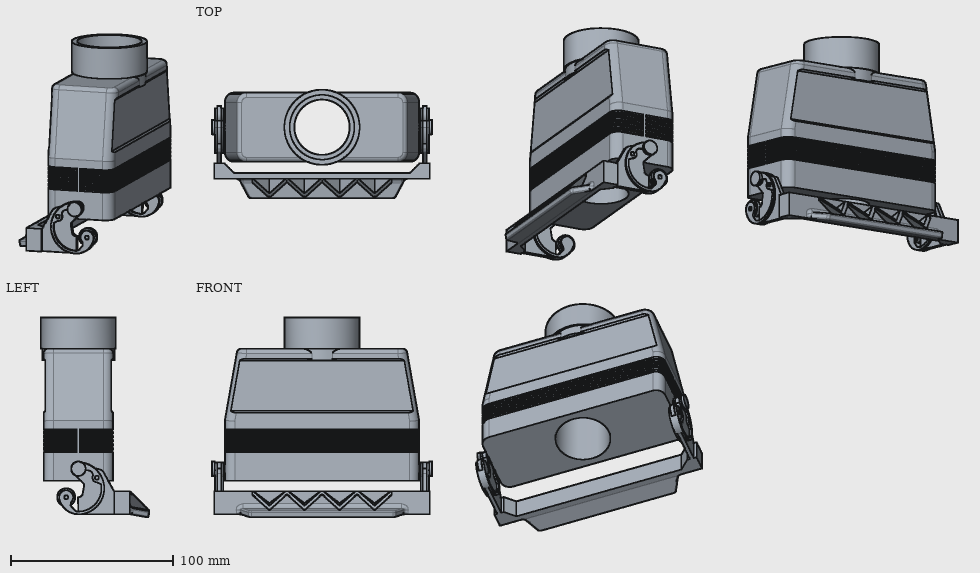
import cadquery as cq
import math


HOOD_LENGTH = 120.0
HOOD_WIDTH = 42.9
HOOD_HEIGHT = 81.6
TAPER_START = 37.4
TAPER_ANGLE = 10.0
SIDE_ROUND = 6.0
TOP_ROUND = 3.0

RECESS_DEPTH = 1.0
RECESS_BOTTOM = 42.0
RECESS_TOP = 75.4
RECESS_BEVEL = 1.2

GROOVE_COUNT = 6
GROOVE_PITCH = 2.5
GROOVE_FIRST_Z = 18.4
GROOVE_WIDTH = 1.7
GROOVE_DEPTH = 0.7
GROOVE_GAP = 1.9

NECK_RADIUS = 23.25
NECK_TOP = 100.8
COLLAR_RADIUS = 22.4
COLLAR_BOTTOM = 74.4
SOCKET_RADIUS = 20.0
SOCKET_DEPTH = 16.0
BORE_RADIUS = 17.0

PIN_Z = 7.45
PIN_RADIUS = 2.65
PIN_HEAD_RADIUS = 4.5
PIN_END_X = 68.0

ARM_X = 63.5
WEB_THICKNESS = 2.6
SPRING_THICKNESS = 5.2
WEB_OUTER_RADIUS = 16.2
ARC_CENTER_Z = -4.7
SPRING_OUTER_RADIUS = 16.0
SPRING_INNER_RADIUS = 14.3
EYE_Y = 7.5
EYE_Z = -10.15
EYE_RADIUS = 4.3
ROLLER_RADIUS = 5.6
RIVET_Y = -11.5
RIVET_Z = 1.9
RIVET_LOBE_RADIUS = 2.8
DIMPLE_RADIUS = 1.25
DIMPLE_DEPTH = 0.4

BAR_LENGTH = 133.2
BAR_BACK = -22.1
BAR_FRONT = -31.85
BAR_WALL = 3.7
BAR_BLOCK_LENGTH = 6.2
BAR_TOP = -6.4
BAR_BOTTOM = ARC_CENTER_Z - SPRING_OUTER_RADIUS

LIP_TILT = 10.0
LIP_REACH = 11.6
LIP_THICKNESS = 4.1
LIP_BASE_HALF = 51.0
LIP_END_HALF = 45.0
LIP_CORNER_ROUND = 2.0
LIP_EDGE_ROUND = 0.9
LIP_ROOT_ROUND = 3.0
LIP_EMBED = 2.0

ZIGZAG_COUNT = 4
ZIGZAG_PITCH = 21.65
RIB_LENGTH = 86.2
RIB_VALLEY_HEIGHT = LIP_THICKNESS + 0.4
RIB_PEAK_HEIGHT = 12.4
RIB_THICKNESS = 2.3


def cylinder_z(radius, bottom, top):
    return cq.Workplane("XY").workplane(offset=bottom).circle(radius).extrude(top - bottom)


def cylinder_x(radius, y, z, start, end):
    return cq.Workplane("YZ").workplane(offset=start).center(y, z).circle(radius).extrude(end - start)


def plate_at_arm(sketch, thickness):
    """Extrude a closed YZ outline symmetrically about the middle of the +X arm."""
    return sketch.extrude(thickness / 2, both=True).translate((ARM_X, 0, 0))


def make_hood():
    half = HOOD_LENGTH / 2
    top_half = half - (HOOD_HEIGHT - TAPER_START) * math.tan(math.radians(TAPER_ANGLE))
    outline = [
        (-half, 0),
        (half, 0),
        (half, TAPER_START),
        (top_half, HOOD_HEIGHT),
        (-top_half, HOOD_HEIGHT),
        (-half, TAPER_START),
    ]
    body = cq.Workplane("XZ").polyline(outline).close().extrude(HOOD_WIDTH / 2, both=True)
    side_edges = body.faces("<X or >X").edges("|Z").vals()
    slanted_edges = body.edges("not(|X or |Y or |Z)").vals()
    body = body.newObject(side_edges + slanted_edges).fillet(SIDE_ROUND)
    return body.faces(">Z").edges().fillet(TOP_ROUND)


def make_recesses():
    outer = HOOD_WIDTH / 2
    inner = outer - RECESS_DEPTH
    section = [
        (-outer, RECESS_BOTTOM),
        (-inner, RECESS_BOTTOM + RECESS_BEVEL),
        (-inner, RECESS_TOP - RECESS_BEVEL),
        (-outer, RECESS_TOP),
    ]
    front = cq.Workplane("YZ").polyline(section).close().extrude(HOOD_LENGTH / 2, both=True)
    return front.union(front.mirror("XZ"))


def make_groove(z):
    """V-shaped ring around the hood, interrupted at the middle of both ends."""
    taper = math.degrees(math.atan2(GROOVE_DEPTH, GROOVE_WIDTH / 2))
    outline = cq.Sketch().rect(HOOD_LENGTH, HOOD_WIDTH).vertices().fillet(SIDE_ROUND)
    base = cq.Workplane("XY").workplane(offset=-GROOVE_WIDTH / 2)
    lower_core = base.placeSketch(outline).extrude(GROOVE_WIDTH / 2, taper=taper)
    core = lower_core.union(lower_core.mirror("XY"))
    margin = 2.0
    ring = cq.Workplane("XY").box(HOOD_LENGTH + margin, HOOD_WIDTH + margin, GROOVE_WIDTH).cut(core)
    gap = cq.Workplane("XY").box(HOOD_LENGTH + 2 * margin, GROOVE_GAP, GROOVE_WIDTH)
    return ring.cut(gap).translate((0, 0, z))


def make_web():
    def on_outer(degrees):
        angle = math.radians(degrees)
        return (WEB_OUTER_RADIUS * math.cos(angle), ARC_CENTER_Z + WEB_OUTER_RADIUS * math.sin(angle))

    outline = (
        cq.Workplane("YZ")
        .moveTo(*on_outer(90))
        .threePointArc(on_outer(110), on_outer(129))
        .lineTo(-13.2, 7.0)
        .threePointArc((-14.8, 6.2), (-15.9, 4.7))
        .lineTo(BAR_BACK, BAR_TOP)
        .lineTo(BAR_BACK - 1.0, BAR_TOP)
        .lineTo(BAR_BACK - 1.0, BAR_BOTTOM)
        .lineTo(0, BAR_BOTTOM)
        .lineTo(0.3, -10.1)
        .threePointArc((-1.5, -9.6), (-2.5, -8.6))
        .lineTo(-3.4, -3.6)
        .lineTo(-3.4, -1.9)
        .lineTo(3.0, PIN_Z - 2.9)
        .close()
    )
    web = plate_at_arm(outline, WEB_THICKNESS)
    start = ARM_X - WEB_THICKNESS / 2
    end = ARM_X + WEB_THICKNESS / 2
    head = cylinder_x(WEB_OUTER_RADIUS + ARC_CENTER_Z - PIN_Z, 0, PIN_Z, start, end)
    roller = cylinder_x(ROLLER_RADIUS, EYE_Y, EYE_Z, start, end)
    return web.union(head).union(roller)


def make_spring():
    """Hook-shaped band running from the pivot pin round to the eye."""
    outer = SPRING_OUTER_RADIUS
    inner = SPRING_INNER_RADIUS
    rise = EYE_Z - BAR_BOTTOM
    tail = (EYE_Y**2 + rise**2 - EYE_RADIUS**2) / (2 * (rise - EYE_RADIUS))
    tail_center_z = BAR_BOTTOM + tail
    eye_direction = math.atan2(EYE_Z - tail_center_z, EYE_Y)
    middle_direction = (eye_direction - math.pi / 2) / 2

    def on_tail(angle):
        return (tail * math.cos(angle), tail_center_z + tail * math.sin(angle))

    def on_inner(degrees):
        angle = math.radians(degrees)
        return (inner * math.cos(angle), ARC_CENTER_Z + inner * math.sin(angle))

    outline = (
        cq.Workplane("YZ")
        .moveTo(0, ARC_CENTER_Z + outer)
        .threePointArc((-outer, ARC_CENTER_Z), (0, BAR_BOTTOM))
        .threePointArc(on_tail(middle_direction), on_tail(eye_direction))
        .lineTo(EYE_Y, EYE_Z)
        .lineTo(4.4, -13.1)
        .threePointArc((4.7, -14.1), (4.8, -15.2))
        .lineTo(2.5, -17.8)
        .threePointArc((1.4, -18.7), on_inner(270))
        .threePointArc(on_inner(225), on_inner(170))
        .lineTo(RIVET_Y, RIVET_Z - RIVET_LOBE_RADIUS)
        .lineTo(RIVET_Y, RIVET_Z)
        .lineTo(-9.0, 3.4)
        .threePointArc((-8.2, 5.4), (-6.2, 6.4))
        .lineTo(0, 6.4)
        .close()
    )
    start = ARM_X - SPRING_THICKNESS / 2
    end = ARM_X + SPRING_THICKNESS / 2
    spring = plate_at_arm(outline, SPRING_THICKNESS)
    spring = spring.union(cylinder_x(EYE_RADIUS, EYE_Y, EYE_Z, start, end))
    spring = spring.union(cylinder_x(RIVET_LOBE_RADIUS, RIVET_Y, RIVET_Z, start, end))
    return spring.union(cylinder_x(outer + ARC_CENTER_Z - PIN_Z, 0, PIN_Z, start, end))


def make_arm():
    outer_face = ARM_X + SPRING_THICKNESS / 2
    arm = make_web().union(make_spring())
    arm = arm.union(cylinder_x(PIN_RADIUS, 0, PIN_Z, HOOD_LENGTH / 2 - 1.0, outer_face))
    arm = arm.union(cylinder_x(PIN_HEAD_RADIUS, 0, PIN_Z, outer_face, PIN_END_X))
    for y, z in [(EYE_Y, EYE_Z), (RIVET_Y, RIVET_Z)]:
        arm = arm.cut(cylinder_x(DIMPLE_RADIUS, y, z, outer_face - DIMPLE_DEPTH, outer_face))
    return arm


def make_bar():
    half = BAR_LENGTH / 2
    wall_back = BAR_FRONT + BAR_WALL
    block_inner = half - BAR_BLOCK_LENGTH
    slope_inner = block_inner - (BAR_BACK - wall_back)
    outline = [
        (-half, BAR_FRONT),
        (half, BAR_FRONT),
        (half, BAR_BACK),
        (block_inner, BAR_BACK),
        (slope_inner, wall_back),
        (-slope_inner, wall_back),
        (-block_inner, BAR_BACK),
        (-half, BAR_BACK),
    ]
    bar = cq.Workplane("XY").workplane(offset=BAR_BOTTOM).polyline(outline).close()
    return bar.extrude(BAR_TOP - BAR_BOTTOM)


def tilt_about_bar_edge(shape):
    """Tilt downwards to the front and hinge on the bar's lower front edge."""
    return shape.rotate((0, 0, 0), (1, 0, 0), LIP_TILT).translate((0, BAR_FRONT, BAR_BOTTOM))


def make_lip():
    embedded_half = LIP_BASE_HALF + (LIP_BASE_HALF - LIP_END_HALF) * LIP_EMBED / LIP_REACH
    outline = [
        (-embedded_half, LIP_EMBED),
        (-LIP_END_HALF, -LIP_REACH),
        (LIP_END_HALF, -LIP_REACH),
        (embedded_half, LIP_EMBED),
    ]
    lip = cq.Workplane("XY").polyline(outline).close().extrude(LIP_THICKNESS)
    lip = lip.edges("|Z and <Y").fillet(LIP_CORNER_ROUND)
    lip = lip.faces("<Z or >Z").edges("not >Y").fillet(LIP_EDGE_ROUND)
    lip = tilt_about_bar_edge(lip)

    size = BAR_LENGTH
    wall = cq.Workplane("XY").box(size, BAR_WALL, size, centered=(True, False, True))
    wall = wall.translate((0, BAR_FRONT, BAR_BOTTOM))
    inside_wall_face = cq.selectors.BoxSelector(
        (-size / 2 + 1, BAR_FRONT - 0.01, BAR_BOTTOM - size / 2 + 1),
        (size / 2 - 1, BAR_FRONT + 0.01, BAR_BOTTOM + size / 2 - 1),
        boundingbox=True,
    )
    lip = lip.union(wall).edges(inside_wall_face).fillet(LIP_ROOT_ROUND)
    above_bottom = tilt_about_bar_edge(cq.Workplane("XY").box(size, size, size, centered=(True, True, False)))
    below_bar_top = cq.Workplane("XY").workplane(offset=BAR_TOP).rect(size, size).extrude(-size)
    below_bar_top = below_bar_top.translate((0, BAR_FRONT, 0))
    return lip.intersect(above_bottom).intersect(below_bar_top)


def make_rib():
    """Zigzag wall running parallel to the lip, cut off by a 45 degree plane from the bar's top edge."""
    half_pitch = ZIGZAG_PITCH / 2
    start_x = -ZIGZAG_COUNT * half_pitch
    lower = []
    for step in range(2 * ZIGZAG_COUNT + 1):
        height = RIB_VALLEY_HEIGHT if step % 2 else RIB_PEAK_HEIGHT
        lower.append((start_x + step * half_pitch, height))
    upper = [(x, height + RIB_THICKNESS) for x, height in reversed(lower)]
    reach = BAR_TOP - BAR_BOTTOM
    wall = cq.Workplane("XZ", origin=(0, BAR_WALL, 0)).polyline(lower + upper).close()
    wall = tilt_about_bar_edge(wall.extrude(BAR_WALL + reach))
    triangle = [(BAR_FRONT, BAR_TOP), (BAR_FRONT, BAR_BOTTOM), (BAR_FRONT - reach, BAR_BOTTOM)]
    limit = cq.Workplane("YZ").polyline(triangle).close().extrude(RIB_LENGTH / 2, both=True)
    return wall.intersect(limit)


hood = make_hood().cut(make_recesses())
for index in range(GROOVE_COUNT):
    hood = hood.cut(make_groove(GROOVE_FIRST_Z + index * GROOVE_PITCH))
hood = hood.union(cylinder_z(COLLAR_RADIUS, COLLAR_BOTTOM, HOOD_HEIGHT))
hood = hood.union(cylinder_z(NECK_RADIUS, HOOD_HEIGHT, NECK_TOP))
hood = hood.cut(cylinder_z(SOCKET_RADIUS, NECK_TOP - SOCKET_DEPTH, NECK_TOP))
hood = hood.cut(cylinder_z(BORE_RADIUS, 0, NECK_TOP))

arm = make_arm()
lever = make_bar().union(make_lip())
lever = lever.union(make_rib())
lever = lever.union(arm).union(arm.mirror("YZ"))

result = hood.union(lever)